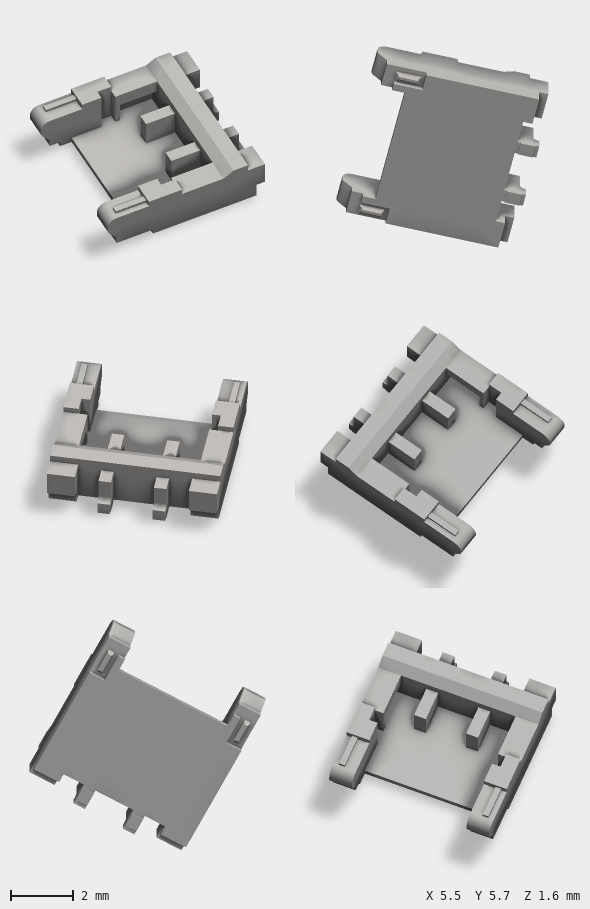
import cadquery as cq
import math


width = 5.5
body_top = 1.55
standoff = 0.05
shoulder_z = 1.35
floor_z = 0.19
floor_front_y = 1.09

arm_width = 0.78
inner_half = width / 2 - arm_width
step_front_y = 1.465
step_back_y = 2.645
base_front_y = 1.61

nose_radius = 0.315
nose_face_bottom_z = 0.92
nose_slope_angle = math.radians(41)
nose_heel_y = 0.315
nose_heel_z = 0.45
nose_lower_radius = 0.285

wall_inner_y = 4.13
wall_outer_y = 4.995
crest_front_y = 4.48
block_back_y = 5.6
block_top_z = 1.31
block_width = 0.905
block_foot_y = 5.295
block_underside_z = 0.49

notch_depth = 0.285
notch_front_y = 2.15
undercut_depth = 0.365
undercut_height = 0.7
undercut_post = 0.165

strip_width = 0.235
strip_front_y = 0.67
peg_width = 0.195
peg_inset = 0.285
peg_x = width / 2 - peg_inset
peg_end_bevel_height = 0.14
peg_end_bevel_run = 0.09
peg_side_bevel_height = 0.075
peg_side_bevel_run = 0.05
rib_front_y = 0.375
rib_height = 0.095

contact_width = 0.405
contact_pitch = 1.79
blade_front_y = 3.095
blade_top_z = 1.085
tail_top_z = 1.185
tail_end_y = 5.7
tail_end_z = 0.4
tail_upright_y = 5.505
tail_curve_radius = 0.15
foot_front_y = 5.1
foot_back_y = 5.565
foot_bevel = 0.03


def box(x_min, x_max, y_min, y_max, z_min, z_max):
    """Axis-aligned block between opposite corners."""
    block = cq.Workplane("XY").box(x_max - x_min, y_max - y_min, z_max - z_min, centered=False)
    return block.translate((x_min, y_min, z_min))


def side_sketch(half_width):
    """YZ workplane from which a positive extrusion of twice half_width is centred on X."""
    return cq.Workplane("YZ", origin=(-half_width, 0, 0))


def both_sides(shape):
    """The shape together with its mirror image across the centre plane."""
    return shape.union(shape.mirror("YZ"))


def make_body():
    """Full-width side outline, including the arm noses and the back blocks."""
    arc_middle = nose_slope_angle / 2
    arc_mid_point = (
        nose_lower_radius - nose_lower_radius * math.cos(arc_middle),
        nose_face_bottom_z - nose_lower_radius * math.sin(arc_middle),
    )
    arc_end_point = (
        nose_lower_radius - nose_lower_radius * math.cos(nose_slope_angle),
        nose_face_bottom_z - nose_lower_radius * math.sin(nose_slope_angle),
    )
    return (
        side_sketch(width / 2)
        .moveTo(base_front_y, 0)
        .lineTo(base_front_y, floor_z)
        .lineTo(nose_heel_y, floor_z)
        .lineTo(nose_heel_y, nose_heel_z)
        .lineTo(*arc_end_point)
        .threePointArc(arc_mid_point, (0, nose_face_bottom_z))
        .lineTo(0, shoulder_z - nose_radius)
        .radiusArc((nose_radius, shoulder_z), nose_radius)
        .lineTo(step_front_y, shoulder_z)
        .lineTo(step_front_y, body_top)
        .lineTo(step_back_y, body_top)
        .lineTo(step_back_y, shoulder_z)
        .lineTo(wall_inner_y, shoulder_z)
        .lineTo(crest_front_y, body_top)
        .lineTo(wall_outer_y, body_top)
        .lineTo(wall_outer_y, block_top_z)
        .lineTo(block_back_y, block_top_z)
        .lineTo(block_back_y, block_underside_z)
        .lineTo(block_foot_y, block_underside_z)
        .lineTo(block_foot_y, 0)
        .close()
        .extrude(width)
    )


def make_cavity():
    """Space between the arms, with the notches and undercuts in their inner faces."""
    pocket = box(-inner_half, inner_half, 0, wall_inner_y, floor_z, body_top)
    notch = box(inner_half, inner_half + notch_depth, notch_front_y, step_back_y, floor_z, body_top)
    undercut = box(
        inner_half, inner_half + undercut_depth,
        step_back_y + undercut_post, wall_inner_y,
        floor_z, floor_z + undercut_height,
    )
    return pocket.union(both_sides(notch)).union(both_sides(undercut))


def make_block_gap():
    """Open space between the two back blocks."""
    half_gap = width / 2 - block_width
    return box(-half_gap, half_gap, wall_outer_y, block_back_y, 0, block_top_z)


def make_floor_lip():
    """Front edge of the floor, reaching forward between the arms."""
    return box(-inner_half, inner_half, floor_front_y, base_front_y, 0, floor_z)


def make_strip():
    """Narrow extension of the base under the inner edge of an arm."""
    return box(inner_half, inner_half + strip_width, strip_front_y, base_front_y, 0, floor_z)


def make_rib():
    """Low rib on top of an arm."""
    half = peg_width / 2
    return box(peg_x - half, peg_x + half, rib_front_y, step_front_y, shoulder_z, shoulder_z + rib_height)


def make_peg():
    """Locating peg under an arm, bevelled all round its lower edge."""
    half = peg_width / 2
    end_bevel_z = peg_end_bevel_height - standoff
    side_bevel_z = peg_side_bevel_height - standoff
    long_profile = (
        side_sketch(half)
        .moveTo(strip_front_y, floor_z)
        .lineTo(strip_front_y, end_bevel_z)
        .lineTo(strip_front_y + peg_end_bevel_run, -standoff)
        .lineTo(step_front_y - peg_end_bevel_run, -standoff)
        .lineTo(step_front_y, end_bevel_z)
        .lineTo(step_front_y, floor_z)
        .close()
        .extrude(peg_width)
        .translate((peg_x, 0, 0))
    )
    cross_profile = (
        cq.Workplane("XZ", origin=(peg_x, step_front_y, 0))
        .moveTo(-half, floor_z)
        .lineTo(-half, side_bevel_z)
        .lineTo(-half + peg_side_bevel_run, -standoff)
        .lineTo(half - peg_side_bevel_run, -standoff)
        .lineTo(half, side_bevel_z)
        .lineTo(half, floor_z)
        .close()
        .extrude(step_front_y - strip_front_y)
    )
    return long_profile.intersect(cross_profile)


def make_contact():
    """Blade standing in the cavity and solder tail behind the wall, on one side.

    The tail stands upright behind the wall and curves out to a low end."""
    half = contact_width / 2
    contact_x = contact_pitch / 2
    arc_middle = tail_curve_radius * (1 - math.sqrt(0.5))
    arc_mid_point = (tail_upright_y + arc_middle, tail_end_z + arc_middle)
    blade = box(contact_x - half, contact_x + half, blade_front_y, wall_inner_y, floor_z, blade_top_z)
    tail = (
        side_sketch(half)
        .moveTo(wall_outer_y, 0)
        .lineTo(foot_front_y, 0)
        .lineTo(foot_front_y, -standoff)
        .lineTo(foot_back_y, -standoff)
        .lineTo(foot_back_y + foot_bevel, 0)
        .lineTo(tail_end_y, 0)
        .lineTo(tail_end_y, tail_end_z)
        .lineTo(tail_upright_y + tail_curve_radius, tail_end_z)
        .threePointArc(arc_mid_point, (tail_upright_y, tail_end_z + tail_curve_radius))
        .lineTo(tail_upright_y, tail_top_z)
        .lineTo(wall_outer_y, tail_top_z)
        .close()
        .extrude(contact_width)
        .translate((contact_x, 0, 0))
    )
    return blade.union(tail)


result = make_body().cut(make_cavity()).cut(make_block_gap()).union(make_floor_lip())
for feature in (make_strip(), make_rib(), make_peg(), make_contact()):
    result = result.union(both_sides(feature))